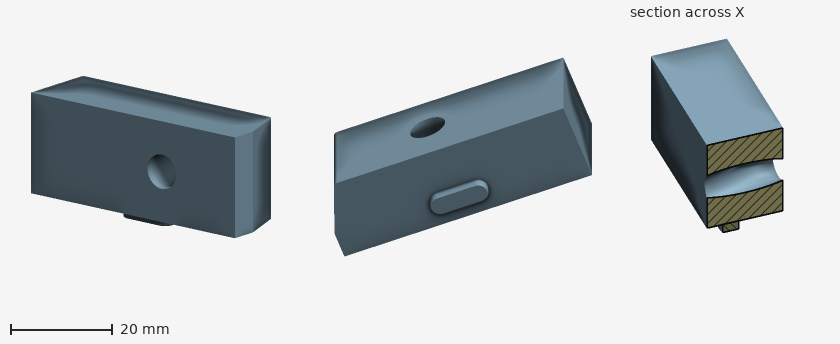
import cadquery as cq
import math

LENGTH = 52.0
WIDTH = 16.0
BLOCK_HEIGHT = 20.55
END_FLAT = 5.5
SLANT_ANGLE = 20.0
CORNER_RADIUS = 1.05

BORE_DIAMETER = 7.0
BORE_ANGLE = 17.0
BORE_X = 33.4
BORE_Z = BLOCK_HEIGHT / 2

KEY_LENGTH = 12.0
KEY_WIDTH = 4.0
KEY_HEIGHT = 2.0
KEY_CHAMFER = 0.2
KEY_X = LENGTH / 2
KEY_Y = 5.05


def make_block():
    slant_run = (WIDTH - END_FLAT) * math.tan(math.radians(SLANT_ANGLE))
    block = (
        cq.Workplane("XY")
        .moveTo(0, 0)
        .lineTo(LENGTH, 0)
        .lineTo(LENGTH, END_FLAT)
        .lineTo(LENGTH - slant_run, WIDTH)
        .lineTo(0, WIDTH)
        .close()
        .extrude(BLOCK_HEIGHT)
    )
    block = block.edges("|Z").edges(">Y").edges(">X").fillet(CORNER_RADIUS)
    return block.cut(make_bore())


def make_bore():
    angle = math.radians(BORE_ANGLE)
    axis = cq.Vector(-math.sin(angle), math.cos(angle), 0)
    mouth = cq.Vector(BORE_X, 0, BORE_Z)
    overrun = WIDTH
    start = mouth - axis * overrun
    bore_length = WIDTH / math.cos(angle) + 2 * overrun
    return cq.Workplane(cq.Solid.makeCylinder(BORE_DIAMETER / 2, bore_length, start, axis))


def make_key():
    key = (
        cq.Workplane("XY")
        .center(KEY_X, KEY_Y)
        .slot2D(KEY_LENGTH, KEY_WIDTH)
        .extrude(-KEY_HEIGHT)
    )
    return key.faces("<Z").edges().chamfer(KEY_CHAMFER)


block = make_block()
key = make_key()

result = cq.Compound.makeCompound([block.val(), key.val()])